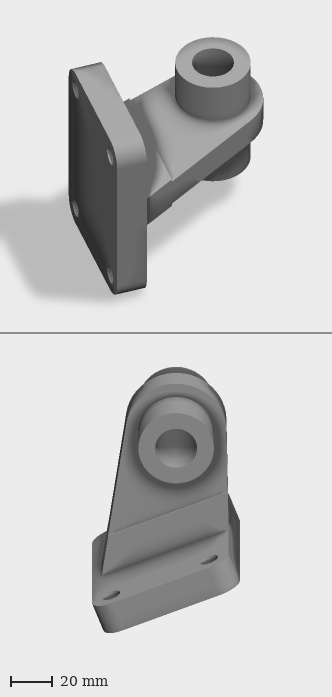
import cadquery as cq
import math

plate_width = 70.0
plate_height = 96.0
plate_thickness = 15.0
plate_corner_radius = 10.0
bolt_hole_diameter = 9.0
bolt_inset = 10.0

hub_offset = 5.0
hub_x = hub_offset - plate_width / 2
hub_y = 71.0
lug_radius = 24.0
lug_thickness = 14.0
lug_root_width = 65.0
root_thickness = 17.0
root_length = 18.0

boss_diameter = 36.0
neck_diameter = 24.2
bore_diameter = 20.0
hub_height = 60.0
boss_spacing = 18.0


def tangent_point(x, y, side):
    """Where the line from (x, y) touches the lug end; side is 1 for left of the hub, -1 for right."""
    dx = x - hub_x
    dy = y - hub_y
    angle = math.atan2(dy, dx) - side * math.acos(lug_radius / math.hypot(dx, dy))
    return (hub_x + lug_radius * math.cos(angle), hub_y + lug_radius * math.sin(angle))


def make_plate():
    plate = (
        cq.Workplane("XZ")
        .rect(plate_width, plate_height)
        .extrude(-plate_thickness)
        .edges("|Y")
        .fillet(plate_corner_radius)
    )
    bolt_holes = (
        cq.Workplane("XZ")
        .rect(plate_width - 2 * bolt_inset, plate_height - 2 * bolt_inset, forConstruction=True)
        .vertices()
        .circle(bolt_hole_diameter / 2)
        .extrude(-plate_thickness)
    )
    return plate.cut(bolt_holes)


def lug_profile(thickness):
    """Tapered lug with sides tangent to its round end, centred on Z = 0."""
    root_left = -plate_width / 2
    root_right = root_left + lug_root_width
    return (
        cq.Workplane("XY", origin=(0, 0, -thickness / 2))
        .moveTo(root_left, plate_thickness)
        .lineTo(root_right, plate_thickness)
        .lineTo(*tangent_point(root_right, plate_thickness, -1))
        .threePointArc((hub_x, hub_y + lug_radius), tangent_point(root_left, plate_thickness, 1))
        .close()
        .extrude(thickness)
    )


def make_lug():
    root_zone = cq.Workplane("XY").box(
        2 * plate_width, root_length, root_thickness, centered=(True, False, True)
    ).translate((0, plate_thickness, 0))
    thick_root = lug_profile(root_thickness).intersect(root_zone)
    return lug_profile(lug_thickness).union(thick_root)


def hub_cylinder(diameter, height):
    return (
        cq.Workplane("XY", origin=(hub_x, hub_y, -height / 2))
        .circle(diameter / 2)
        .extrude(height)
    )


def make_hub():
    bosses = hub_cylinder(boss_diameter, hub_height).cut(hub_cylinder(boss_diameter, boss_spacing))
    return bosses.union(hub_cylinder(neck_diameter, hub_height))


bore = hub_cylinder(bore_diameter, hub_height)
result = make_plate().union(make_lug()).union(make_hub()).cut(bore)